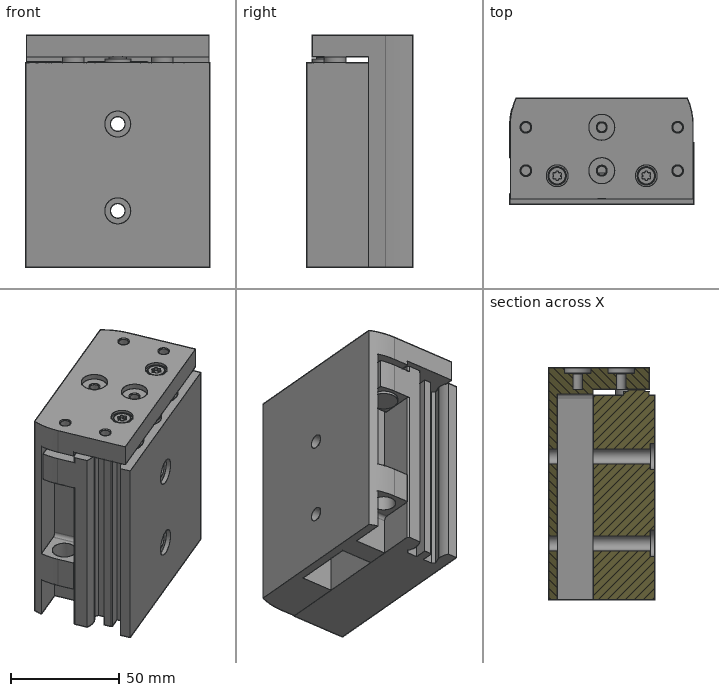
import cadquery as cq
import math


HOUSING_WIDTH = 85.0
DEPTH = 49.0
HEIGHT = 107.0
HOUSING_HEIGHT = 94.3
HOUSING_DEPTH = 28.5

SLIDE_WIDTH = 84.3
SIDE_ARC_START = 36.3
SIDE_ARC_DROP = 2.7

SLOT_CENTER = 13.2
SLOT_MOUTH = 16.7
NECK_WIDTH = 14.0
NECK_DEPTH = 4.7
NECK_LAND = 1.1
NECK_ARC_BULGE = 0.3
SLOT_WIDTH = 16.6
SLOT_WALL_START = 9.4
SLOT_DEPTH = 10.7
RIB_FRONT = 11.0
RIB_BACK = 15.0
RIB_CHAMFER = 0.5
BACK_CHAMFER = 0.9

CROSS_HOLE_DIAMETER = 6.6
CROSS_BORE_DIAMETER = 12.0
CROSS_BORE_DEPTH = 2.1
CROSS_HOLE_PITCH = 40.0
CROSS_HOLE_BOTTOM = 26.0
ARM_BOTTOM = 77.0
ARM_TOP = 91.4
ARM_CLEARANCE = 1.1
BUSHING_DIAMETER = 13.0
BUSHING_LENGTH = 1.3
CAP_Y = 8.6
CAP_DIAMETER = 12.0
CAP_HEIGHT = 1.8
CROWN_DIAMETER = 8.0
CROWN_HEIGHT = 2.6
ROD_RECESS_DIAMETER = 20.0
ROD_RECESS_DEPTH = 0.5

PLATE_FRONT = 2.6
PLATE_UNDERSIDE = 96.9
POCKET_TOP = 94.8
BACK_PLATE_FRONT = 44.9
POCKET_WALL_X = -25.0
POCKET_FILLET = 1.7
CROSSBAR_BOTTOM = 19.5
CROSSBAR_TOP = 34.2
STOP_HOLE_DIAMETER = 11.0
CENTER_POCKET_WIDTH = 29.5

OUTER_HOLE_DIAMETER = 4.5
OUTER_HOLE_DEPTH = 8.6
CENTER_HOLE_DIAMETER = 4.2
MOUTH_CHAMFER = 0.4
HOLE_ROW_FRONT = 15.5
HOLE_ROW_PITCH = 20.0
OUTER_HOLE_X = 35.0
DOWEL_DIAMETER = 12.0
DOWEL_DEPTH = 2.6

ROD_X = 20.5
ROD_Y = SLOT_CENTER
ROD_DIAMETER = 10.1
SCREW_RECESS_DEPTH = 1.3
HEAD_DIAMETER = 8.5
HEAD_HEIGHT = 0.5
HEAD_CHAMFER = 0.4
STAR_CORE_DIAMETER = 3.3
STAR_LOBE_DIAMETER = 1.3
STAR_TIP_DIAMETER = 4.5
STAR_DEPTH = 1.6
STAR_LOBES = 6

LEFT = -HOUSING_WIDTH / 2
SIDE_ARC_RUN = DEPTH - SIDE_ARC_START
SIDE_ARC_RADIUS = (SIDE_ARC_RUN**2 + SIDE_ARC_DROP**2) / (2 * SIDE_ARC_DROP)
ARM_RIGHT = POCKET_WALL_X - ARM_CLEARANCE
ARM_BACK = BACK_PLATE_FRONT - ARM_CLEARANCE
ARM_CENTER_X = (LEFT + ARM_RIGHT) / 2
ROD_FOOT = HOUSING_HEIGHT - ROD_RECESS_DEPTH
HOLE_ROWS = [HOLE_ROW_FRONT, HOLE_ROW_FRONT + HOLE_ROW_PITCH]
CROSS_HOLES = [(0, CROSS_HOLE_BOTTOM), (0, CROSS_HOLE_BOTTOM + CROSS_HOLE_PITCH)]


def block(x_range, y_range, z_range):
    """Axis-aligned box between the given limits."""
    (x0, x1), (y0, y1), (z0, z1) = x_range, y_range, z_range
    return cq.Workplane("XY").box(x1 - x0, y1 - y0, z1 - z0, centered=False).translate((x0, y0, z0))


def disc(x, y, z, diameter, height):
    """Upright cylinder standing on height z."""
    return cq.Workplane("XY", origin=(x, y, z)).circle(diameter / 2).extrude(height)


def cross_cylinders(diameter, length):
    """Cylinders on the cross-hole axes, running back from the front face."""
    return cq.Workplane("XZ").pushPoints(CROSS_HOLES).circle(diameter / 2).extrude(-length)


def side_arc_inset(run):
    """How far the side arc has come in at a distance behind its start."""
    return SIDE_ARC_RADIUS - math.sqrt(SIDE_ARC_RADIUS**2 - run**2)


def side_slot():
    """Undercut slot along the left side; the rib in its middle is left standing."""
    mouth, neck, wall = SLOT_MOUTH / 2, NECK_WIDTH / 2, SLOT_WIDTH / 2
    arc_x = LEFT + NECK_DEPTH / 2
    arc_y = (mouth + neck) / 2 - NECK_ARC_BULGE
    floor_chamfer = SLOT_DEPTH - SLOT_WALL_START
    slot = (
        cq.Workplane("XY", origin=(0, SLOT_CENTER, 0))
        .moveTo(LEFT, -mouth)
        .threePointArc((arc_x, -arc_y), (LEFT + NECK_DEPTH, -neck))
        .lineTo(LEFT + NECK_DEPTH + NECK_LAND, -neck)
        .lineTo(LEFT + SLOT_WALL_START, -wall)
        .lineTo(LEFT + SLOT_DEPTH, floor_chamfer - wall)
        .lineTo(LEFT + SLOT_DEPTH, wall - floor_chamfer)
        .lineTo(LEFT + SLOT_WALL_START, wall)
        .lineTo(LEFT + NECK_DEPTH + NECK_LAND, neck)
        .lineTo(LEFT + NECK_DEPTH, neck)
        .threePointArc((arc_x, arc_y), (LEFT, mouth))
        .close()
        .extrude(HOUSING_HEIGHT)
    )
    rib = block(
        (LEFT + NECK_DEPTH, LEFT + SLOT_DEPTH),
        (RIB_FRONT, RIB_BACK),
        (0, HOUSING_HEIGHT),
    )
    return slot.cut(rib.edges("<X and <Y").chamfer(RIB_CHAMFER))


def housing_arm():
    """Arm reaching into the slide's side pocket, with a bushing under it."""
    arc_run = ARM_BACK - SIDE_ARC_START
    arm = (
        cq.Workplane("XY", origin=(0, 0, ARM_BOTTOM))
        .moveTo(ARM_RIGHT, HOUSING_DEPTH - BACK_CHAMFER)
        .lineTo(LEFT, HOUSING_DEPTH - BACK_CHAMFER)
        .lineTo(LEFT, SIDE_ARC_START)
        .threePointArc(
            (LEFT + side_arc_inset(arc_run / 2), SIDE_ARC_START + arc_run / 2),
            (LEFT + side_arc_inset(arc_run), ARM_BACK),
        )
        .lineTo(ARM_RIGHT, ARM_BACK)
        .close()
        .extrude(ARM_TOP - ARM_BOTTOM)
    )
    bushing_bottom = ARM_BOTTOM - BUSHING_LENGTH
    return arm.union(disc(ARM_CENTER_X, SIDE_ARC_START, bushing_bottom, BUSHING_DIAMETER, BUSHING_LENGTH))


def make_housing():
    body = block((LEFT, -LEFT), (0, HOUSING_DEPTH), (0, HOUSING_HEIGHT))
    body = body.edges("|Z and <X and >Y").chamfer(BACK_CHAMFER)
    body = body.cut(side_slot()).union(housing_arm())
    body = body.cut(cross_cylinders(CROSS_HOLE_DIAMETER, HOUSING_DEPTH))
    body = body.cut(cross_cylinders(CROSS_BORE_DIAMETER, CROSS_BORE_DEPTH))
    for x in (-ROD_X, ROD_X):
        body = body.cut(disc(x, ROD_Y, ROD_FOOT, ROD_RECESS_DIAMETER, ROD_RECESS_DEPTH))
    body = body.union(disc(0, CAP_Y, HOUSING_HEIGHT, CAP_DIAMETER, CAP_HEIGHT))
    return body.union(disc(0, CAP_Y, HOUSING_HEIGHT, CROWN_DIAMETER, CROWN_HEIGHT))


def slide_blank():
    """Full-height block with the arced sides, before anything is cut away."""
    half = SLIDE_WIDTH / 2
    back_half = half - SIDE_ARC_DROP
    arc_x = half - side_arc_inset(SIDE_ARC_RUN / 2)
    arc_y = SIDE_ARC_START + SIDE_ARC_RUN / 2
    return (
        cq.Workplane("XY")
        .moveTo(-half, PLATE_FRONT)
        .lineTo(half, PLATE_FRONT)
        .lineTo(half, SIDE_ARC_START)
        .threePointArc((arc_x, arc_y), (back_half, DEPTH))
        .lineTo(-back_half, DEPTH)
        .threePointArc((-arc_x, arc_y), (-half, SIDE_ARC_START))
        .close()
        .extrude(HEIGHT)
    )


def cut_pockets(body):
    """Clear the housing's space, the two left pockets and the pocket in the middle."""
    pocket_y = (HOUSING_DEPTH, BACK_PLATE_FRONT)
    left_x = (LEFT, POCKET_WALL_X)
    center_x = (-CENTER_POCKET_WIDTH / 2, CENTER_POCKET_WIDTH / 2)
    lower = block(left_x, pocket_y, (0, CROSSBAR_BOTTOM)).edges("|Y and >X and >Z").fillet(POCKET_FILLET)
    upper = block(left_x, pocket_y, (CROSSBAR_TOP, POCKET_TOP)).edges("|Y and >X").fillet(POCKET_FILLET)
    center = block(center_x, pocket_y, (0, POCKET_TOP)).edges("|Y and >Z").fillet(POCKET_FILLET)
    body = body.cut(block((LEFT, -LEFT), (0, HOUSING_DEPTH), (0, PLATE_UNDERSIDE)))
    return body.cut(lower).cut(upper).cut(center)


def chamfered_hole(x, y, mouth_z, diameter, depth):
    """Cutter for a hole going down from mouth_z with a chamfered mouth."""
    mouth = (
        cq.Workplane("XY", origin=(x, y, mouth_z))
        .circle(diameter / 2 + MOUTH_CHAMFER)
        .workplane(offset=-MOUTH_CHAMFER)
        .circle(diameter / 2)
        .loft()
    )
    return disc(x, y, mouth_z - depth, diameter, depth).union(mouth)


def cut_top_holes(body):
    """Blind holes near the sides, and stepped holes on the centre line."""
    dowel_floor = HEIGHT - DOWEL_DEPTH
    center_depth = dowel_floor - PLATE_UNDERSIDE
    for y in HOLE_ROWS:
        for x in (-OUTER_HOLE_X, OUTER_HOLE_X):
            body = body.cut(chamfered_hole(x, y, HEIGHT, OUTER_HOLE_DIAMETER, OUTER_HOLE_DEPTH))
        body = body.cut(disc(0, y, dowel_floor, DOWEL_DIAMETER, DOWEL_DEPTH))
        body = body.cut(chamfered_hole(0, y, dowel_floor, CENTER_HOLE_DIAMETER, center_depth))
    return body


def star_socket(x, y, top):
    """Six-lobed driver socket."""
    lobe_radius = (STAR_TIP_DIAMETER - STAR_LOBE_DIAMETER) / 2
    socket = disc(x, y, top - STAR_DEPTH, STAR_CORE_DIAMETER, STAR_DEPTH)
    for i in range(STAR_LOBES):
        angle = math.radians(90 + i * 360 / STAR_LOBES)
        lobe_x = x + lobe_radius * math.cos(angle)
        lobe_y = y + lobe_radius * math.sin(angle)
        socket = socket.union(disc(lobe_x, lobe_y, top - STAR_DEPTH, STAR_LOBE_DIAMETER, STAR_DEPTH))
    return socket


def add_rod(body, x):
    """Rod down to the housing, with its screw head sunk in the top face."""
    seat = HEIGHT - SCREW_RECESS_DEPTH
    head = disc(x, ROD_Y, seat, HEAD_DIAMETER, HEAD_HEIGHT).faces(">Z").chamfer(HEAD_CHAMFER)
    body = body.union(disc(x, ROD_Y, ROD_FOOT, ROD_DIAMETER, seat - ROD_FOOT))
    body = body.cut(disc(x, ROD_Y, seat, ROD_DIAMETER, SCREW_RECESS_DEPTH))
    return body.union(head).cut(star_socket(x, ROD_Y, seat + HEAD_HEIGHT))


def make_slide():
    body = cut_top_holes(cut_pockets(slide_blank()))
    bar_height = CROSSBAR_TOP - CROSSBAR_BOTTOM
    body = body.cut(disc(ARM_CENTER_X, SIDE_ARC_START, CROSSBAR_BOTTOM, STOP_HOLE_DIAMETER, bar_height))
    body = body.cut(cross_cylinders(CROSS_HOLE_DIAMETER, DEPTH))
    for x in (-ROD_X, ROD_X):
        body = add_rod(body, x)
    return body


housing = make_housing()
slide = make_slide()
result = cq.Compound.makeCompound([housing.val(), slide.val()])